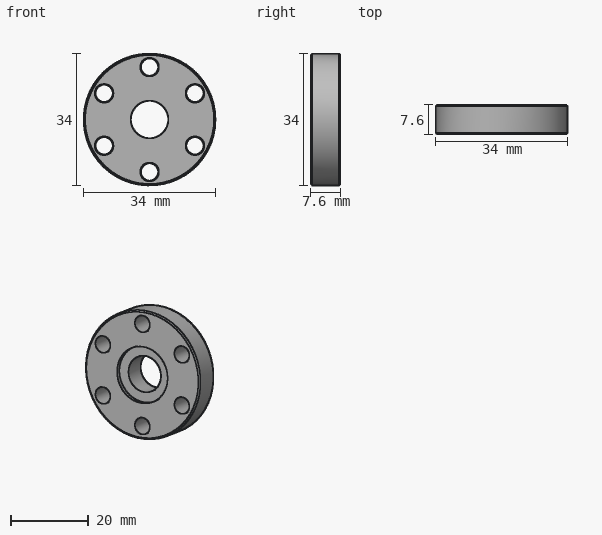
import cadquery as cq

outer_diameter = 34.0
thickness = 7.6
edge_chamfer = 0.4
bore_diameter = 9.6

recess_diameter = 14.95
recess_depth = 1.2

bolt_hole_count = 6
bolt_circle_diameter = 27.0
bolt_hole_diameter = 4.42
bolt_hole_chamfer = 0.2
first_hole_angle = 90


def front_plane():
    """Fresh workplane on the -Y face; positive extrusion points out of the part."""
    return cq.Workplane("XZ", origin=(0, -thickness / 2, 0))


def bolt_hole_centres():
    """Bolt hole positions on the -Y face."""
    return front_plane().polarArray(
        bolt_circle_diameter / 2, first_hole_angle, 360, bolt_hole_count
    )


def make_disc():
    """Disc with both outer rims chamfered."""
    disc = front_plane().circle(outer_diameter / 2).extrude(-thickness)
    return disc.faces("<Y or >Y").edges().chamfer(edge_chamfer)


def make_bore():
    """Plain central through bore."""
    return front_plane().circle(bore_diameter / 2).extrude(-thickness)


def make_recess():
    """Counterbore that shortens the bore from the +Y side."""
    recess_floor = cq.Workplane("XZ", origin=(0, thickness / 2 - recess_depth, 0))
    return recess_floor.circle(recess_diameter / 2).extrude(-recess_depth)


def make_bolt_holes():
    """Through holes, each widened by a chamfer at its -Y mouth."""
    mouth_radius = bolt_hole_diameter / 2 + bolt_hole_chamfer
    holes = bolt_hole_centres().circle(bolt_hole_diameter / 2).extrude(-thickness)
    mouths = bolt_hole_centres().circle(mouth_radius).extrude(-bolt_hole_chamfer, taper=45)
    return holes.union(mouths)


result = make_disc().cut(make_bore()).cut(make_recess()).cut(make_bolt_holes())